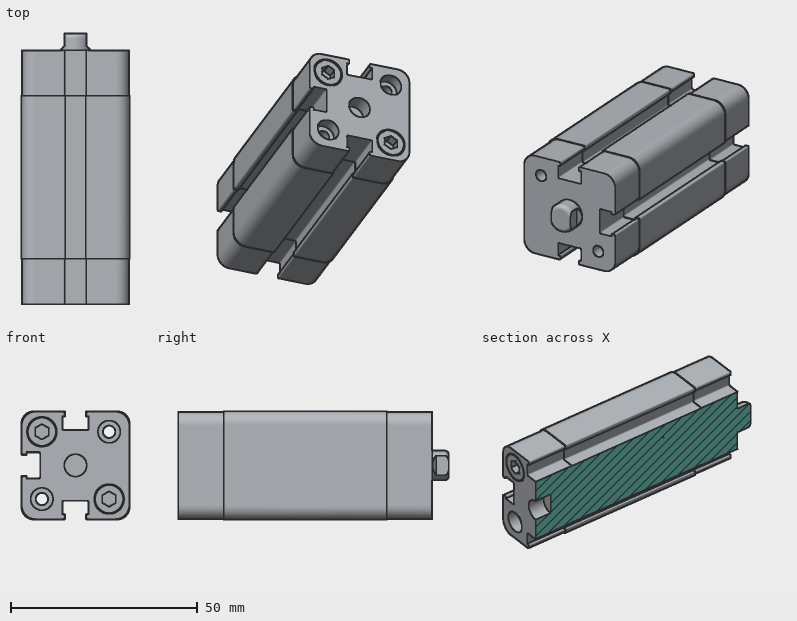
import cadquery as cq


body_width = 29.05
cap_inset = 0.175
corner_radius = 3.5
cap_length = 12.2
body_length = 43.6
total_length = cap_length + body_length + cap_length
front_y = -total_length / 2
back_y = total_length / 2

overlap = 1.0

slot_floor = 9.42
cap_floor_rise = 0.08
slot_half_width = 3.4
mouth_half_width = 2.72
lip_inner_face = 13.0
slot_relief = 0.2
lip_relief = 0.1
lip_round = 0.42
slot_floor_round = 0.4
slot_angles = (0, 90, 180)

rod_diameter = 8.0
rod_projection = 4.5
rod_flat_width = 6.0
rod_flat_length = 3.4
rod_end_round = 1.2

hole_offset = 9.0
through_hole_diameter = 3.24
bore_diameter = 6.0
corner_bore_depth = 3.5
center_bore_depth = 5.0
screw_hole_diameter = 8.0
screw_head_diameter = 7.5
screw_gap_depth = 0.5
hex_corner_diameter = 4.13
hex_depth = 3.0
pocket_corners = ((hole_offset, hole_offset), (-hole_offset, -hole_offset))
screw_corners = ((-hole_offset, hole_offset), (hole_offset, -hole_offset))


def section_plane(y):
    """XZ sketch plane at the given Y, with local x = X, local y = Z and normal -Y."""
    return cq.Workplane("XZ", origin=(0, y, 0))


def slot_cutter(start_y, length, floor, relief, lip_face, half_width):
    """T-slot open at +Z, with the lip edges and floor corners rounded."""
    wall = slot_half_width + relief
    mouth = mouth_half_width + relief
    flare = mouth + lip_round
    lip_top = half_width - lip_round
    lip_bottom = lip_face + lip_round
    diagonal = lip_round * (1 - 0.5 ** 0.5)
    outside = half_width + overlap
    cutter = (
        section_plane(start_y)
        .moveTo(-wall, floor)
        .lineTo(wall, floor)
        .lineTo(wall, lip_face)
        .lineTo(flare, lip_face)
        .threePointArc((mouth + diagonal, lip_face + diagonal), (mouth, lip_bottom))
        .lineTo(mouth, lip_top)
        .threePointArc((mouth + diagonal, half_width - diagonal), (flare, half_width))
        .lineTo(flare, outside)
        .lineTo(-flare, outside)
        .lineTo(-flare, half_width)
        .threePointArc((-mouth - diagonal, half_width - diagonal), (-mouth, lip_top))
        .lineTo(-mouth, lip_bottom)
        .threePointArc((-mouth - diagonal, lip_face + diagonal), (-flare, lip_face))
        .lineTo(-wall, lip_face)
        .close()
        .extrude(-length)
    )
    floor_corners = cq.selectors.BoxSelector(
        (-outside, start_y - overlap, floor - diagonal),
        (outside, start_y + length + overlap, floor + diagonal),
    )
    return cutter.edges(floor_corners).edges("|Y").fillet(slot_floor_round)


def slotted_block(start_y, length, inset, floor, relief, lip_face):
    """Rounded square length of extrusion with a T-slot on three sides."""
    half_width = body_width / 2 - inset
    block = (
        section_plane(start_y)
        .rect(2 * half_width, 2 * half_width)
        .extrude(-length)
        .edges("|Y")
        .fillet(corner_radius)
    )
    cutter = slot_cutter(start_y, length, floor, relief, lip_face, half_width)
    for angle in slot_angles:
        block = block.cut(cutter.rotate((0, 0, 0), (0, 1, 0), -angle))
    return block


def piston_rod():
    """Rod end with a rounded tip and two wrench flats facing -X and +X."""
    radius = rod_diameter / 2
    tip_y = back_y + rod_projection
    rod = section_plane(back_y - overlap).circle(radius).extrude(-(rod_projection + overlap))
    rod = rod.faces(">Y").edges().fillet(rod_end_round)
    flat = rod_flat_width / 2
    flat_start_y = tip_y - rod_flat_length
    ramp = 2 * (radius - flat)
    for side in (-1, 1):
        relief = (
            cq.Workplane("XY")
            .moveTo(side * flat, tip_y + overlap)
            .lineTo(side * flat, flat_start_y)
            .lineTo(side * (flat + ramp), flat_start_y - ramp)
            .lineTo(side * (flat + ramp), tip_y + overlap)
            .close()
            .extrude(radius, both=True)
        )
        rod = rod.cut(relief)
    return rod


def cylinder_assembly():
    """Body between two slightly smaller end caps, with the rod joined on."""
    body = slotted_block(front_y + cap_length, body_length, 0, slot_floor, 0, lip_inner_face)
    cap_floor = slot_floor + cap_floor_rise
    cap_lip_face = lip_inner_face + lip_relief
    for cap_start in (front_y, back_y - cap_length):
        cap = slotted_block(cap_start, cap_length, cap_inset, cap_floor, slot_relief, cap_lip_face)
        body = body.union(cap)
    return body.union(piston_rod())


def cut_bores(part):
    """Stepped through holes in two corners and a blind bore on the axis."""
    face = section_plane(front_y)
    part = part.cut(face.pushPoints(pocket_corners).circle(through_hole_diameter / 2).extrude(-total_length))
    part = part.cut(face.pushPoints(pocket_corners).circle(bore_diameter / 2).extrude(-corner_bore_depth))
    return part.cut(face.circle(bore_diameter / 2).extrude(-center_bore_depth))


def cut_screws(part):
    """Flush socket screw heads: a ring gap around each head and a hex socket."""
    face = section_plane(front_y)
    gap = (
        face.pushPoints(screw_corners)
        .circle(screw_hole_diameter / 2)
        .circle(screw_head_diameter / 2)
        .extrude(-screw_gap_depth)
    )
    socket = face.polygon(6, hex_corner_diameter).extrude(-hex_depth)
    socket = socket.rotate((0, 0, 0), (0, 1, 0), 90)
    part = part.cut(gap)
    for x, z in screw_corners:
        part = part.cut(socket.translate((x, 0, z)))
    return part


result = cut_screws(cut_bores(cylinder_assembly()))